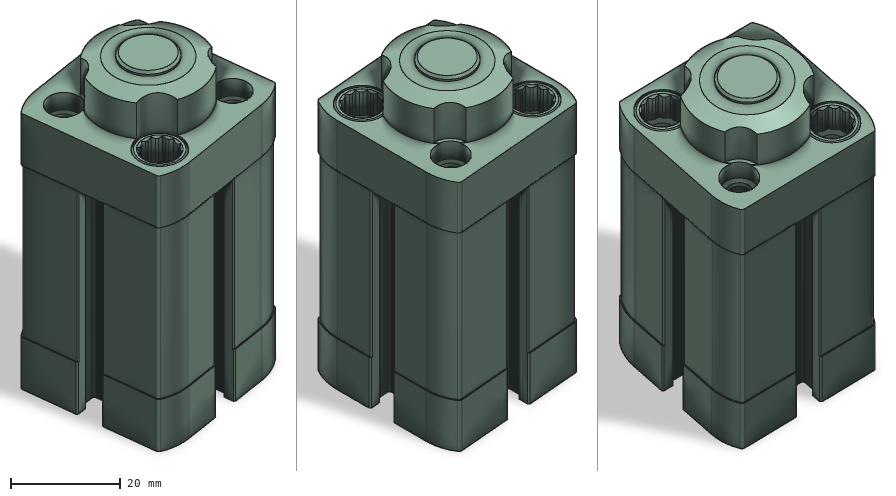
import cadquery as cq
import math

total_height = 74.0
plate_height = 12.0
head_top = 63.5
head_bottom = head_top - plate_height
collar_top = 73.05

width = 35.5
corner_x = 15.75
bow_start_y = 11.1
corner_round = 0.9
tube_inset = 0.2

slot_mouth = 5.55
slot_mouth_chamfer = 0.3
slot_lip_depth = 2.2
slot_inner_width = 7.55
slot_depth = 6.0
slot_corner_round = 0.7

collar_diameter = 25.0
collar_crown_diameter = 17.5
collar_cone_height = 1.3

hole_offset = 11.0
hole_diameter = 4.15
hole_chamfer = 0.45
counterbore_diameter = 7.5
counterbore_depth = 4.0
counterbore_relief_diameter = 9.0
counterbore_relief_step = 0.2

socket_rim_diameter = 10.5
socket_groove = 0.45
socket_points_diameter = 8.3
socket_bore_diameter = 7.6
socket_mouth_diameter = 8.5
socket_depth = 6.0

rod_diameter = 12.0
rod_chamfer = 0.5

plain_corners = [(-hole_offset, -hole_offset), (hole_offset, hole_offset)]
socket_corners = [(-hole_offset, hole_offset), (hole_offset, -hole_offset)]


def cylinder(diameter, bottom, top, center=(0, 0)):
    return cq.Workplane("XY", origin=(*center, bottom)).circle(diameter / 2).extrude(top - bottom)


def cone(bottom_diameter, top_diameter, bottom, top, center=(0, 0)):
    solid = cq.Solid.makeCone(
        bottom_diameter / 2, top_diameter / 2, top - bottom, pnt=cq.Vector(*center, bottom)
    )
    return cq.Workplane("XY").add(solid)


def bowed_outline(inset):
    """Closed outline: flat Y sides, and X sides bowed inward towards the corners."""
    half = width / 2 - inset
    x = corner_x - inset
    bow_depth = half - x
    bow_height = half - bow_start_y
    bow_radius = (bow_depth**2 + bow_height**2) / (2 * bow_depth)
    half_angle = math.asin(bow_height / bow_radius) / 2
    mid_x = half - bow_radius * (1 - math.cos(half_angle))
    mid_y = bow_start_y + bow_radius * math.sin(half_angle)
    return (
        cq.Workplane("XY")
        .moveTo(half, -bow_start_y)
        .lineTo(half, bow_start_y)
        .threePointArc((mid_x, mid_y), (x, half))
        .lineTo(-x, half)
        .threePointArc((-mid_x, mid_y), (-half, bow_start_y))
        .lineTo(-half, -bow_start_y)
        .threePointArc((-mid_x, -mid_y), (-x, -half))
        .lineTo(x, -half)
        .threePointArc((mid_x, -mid_y), (half, -bow_start_y))
        .close()
    )


def outline_block(inset, bottom, top):
    """Prism of the bowed outline with rounded corners at the Y faces."""
    block = bowed_outline(inset).extrude(top - bottom).translate((0, 0, bottom))
    for x_sign in (-1, 1):
        for y_sign in (-1, 1):
            x = x_sign * (corner_x - inset)
            y = y_sign * (width / 2 - inset)
            near_corner = cq.selectors.BoxSelector(
                (x - corner_round, y - corner_round, bottom), (x + corner_round, y + corner_round, top)
            )
            block = block.edges("|Z").edges(near_corner).fillet(corner_round)
    return block


def slot_cutter(inset, bottom, top):
    """T-slot in the -Y face of the block with the given inset."""
    face = width / 2 - inset
    tube_face = width / 2 - tube_inset
    mouth = slot_mouth / 2
    flared = mouth + slot_mouth_chamfer
    lip_y = slot_lip_depth - tube_face
    floor_y = slot_depth - tube_face
    entry = (
        cq.Workplane("XY", origin=(0, 0, bottom))
        .moveTo(-flared, -face)
        .lineTo(flared, -face)
        .lineTo(mouth, slot_mouth_chamfer - face)
        .lineTo(mouth, lip_y)
        .lineTo(-mouth, lip_y)
        .lineTo(-mouth, slot_mouth_chamfer - face)
        .close()
        .extrude(top - bottom)
    )
    cavity = (
        cq.Workplane("XY", origin=(0, (lip_y + floor_y) / 2, bottom))
        .rect(slot_inner_width, floor_y - lip_y)
        .extrude(top - bottom)
        .edges("|Z and >Y")
        .fillet(slot_corner_round)
    )
    return entry.union(cavity)


def slotted_block(inset, bottom, top):
    """Block with a T-slot in each of its four sides."""
    block = outline_block(inset, bottom, top)
    cutter = slot_cutter(inset, bottom, top)
    for angle in (0, 90, 180, 270):
        block = block.cut(cutter.rotate((0, 0, 0), (0, 0, 1), angle))
    return block


def collar():
    cone_bottom = collar_top - collar_cone_height
    crown = cone(collar_diameter, collar_crown_diameter, cone_bottom, collar_top)
    return cylinder(collar_diameter, head_top, cone_bottom).union(crown)


def chamfered_hole(top, center):
    """Through hole whose chamfered mouth lies at the given height."""
    mouth = hole_diameter + 2 * hole_chamfer
    chamfer = cone(hole_diameter, mouth, top - hole_chamfer, top, center)
    return cylinder(hole_diameter, 0, top, center).union(chamfer)


def counterbored_hole(center):
    """Plain screw hole, with a relief where its head would meet the collar."""
    floor = head_top - counterbore_depth
    relief_floor = head_top + counterbore_relief_step
    return (
        chamfered_hole(floor, center)
        .union(cylinder(counterbore_diameter, floor, relief_floor, center))
        .union(cylinder(counterbore_relief_diameter, relief_floor, total_height, center))
    )


def twelve_point_prism(bottom, top, center):
    """Two hexagonal prisms turned 30 degrees to each other."""
    hexagon = (
        cq.Workplane("XY", origin=(*center, bottom))
        .polygon(6, socket_points_diameter)
        .extrude(top - bottom)
    )
    axis_start = (*center, bottom)
    axis_end = (*center, top)
    return hexagon.union(hexagon.rotate(axis_start, axis_end, 30))


def socket_hole(center):
    """Twelve-point socket with a V groove around its rim and a clear path past the collar."""
    floor = head_top - socket_depth
    groove_bottom = head_top - socket_groove
    rim_top_diameter = socket_rim_diameter - 2 * socket_groove
    groove = cylinder(socket_rim_diameter, groove_bottom, head_top, center).cut(
        cone(socket_rim_diameter, rim_top_diameter, groove_bottom, head_top, center)
    )
    mouth_depth = (socket_mouth_diameter - socket_bore_diameter) / 2
    mouth = cone(
        socket_bore_diameter, socket_mouth_diameter, head_top - mouth_depth, head_top, center
    )
    return (
        chamfered_hole(floor, center)
        .union(twelve_point_prism(floor, head_top, center))
        .union(cylinder(socket_bore_diameter, floor, head_top, center))
        .union(mouth)
        .union(groove)
        .union(cylinder(socket_rim_diameter, head_top, total_height, center))
    )


def make_housing():
    housing = (
        slotted_block(0, 0, plate_height)
        .union(slotted_block(tube_inset, plate_height, head_bottom))
        .union(outline_block(0, head_bottom, head_top))
        .union(collar())
    )
    for center in plain_corners:
        housing = housing.cut(counterbored_hole(center))
    for center in socket_corners:
        housing = housing.cut(socket_hole(center))
    return housing.cut(cylinder(rod_diameter, head_bottom, total_height))


def make_rod():
    return cylinder(rod_diameter, head_bottom, total_height).faces(">Z").chamfer(rod_chamfer)


housing = make_housing()
rod = make_rod()

result = cq.Compound.makeCompound([housing.val(), rod.val()])